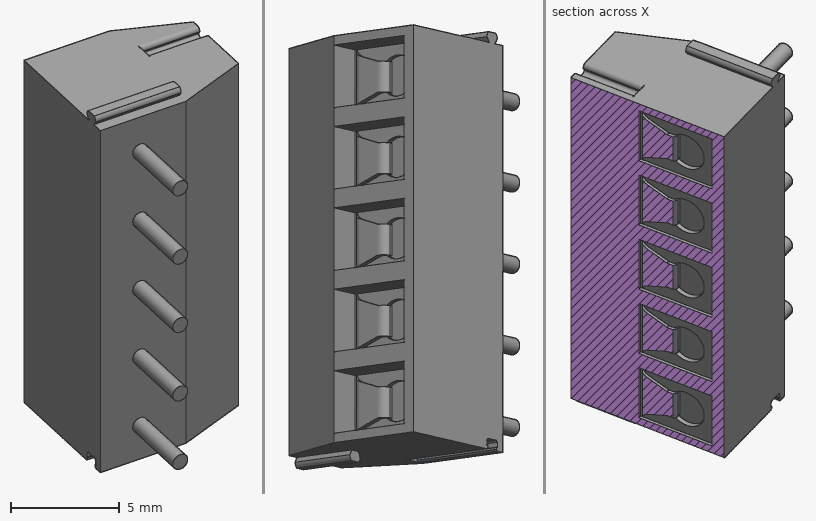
import cadquery as cq
import math

BODY_DEPTH = 6.75
BODY_WIDTH = 8.3
BODY_HEIGHT = 19.05
SHOULDER_Y = 4.61
TOP_INSET = 1.38

TERMINALS = 5
PITCH = BODY_HEIGHT / TERMINALS
CONTACT_Y = 2.15

PIN_DIAMETER = 0.8
PIN_LENGTH = 3.55

POCKET_DEPTH = 1.6
POCKET_HEIGHT = 2.93
POCKET_FRONT_Y = 0.55
POCKET_TAPER = 0.16

GUIDE_RISE = 0.28
GUIDE_START_Y = 4.51
GUIDE_START_RUN = 0.38
GUIDE_END_RUN = 0.45
GUIDE_END_DROP = 0.35
GUIDE_FLARE_Y = 4.33
GUIDE_FLARE_Z = 1.2
GUIDE_WIDE = 2.19
GUIDE_NARROW = 1.45
GUIDE_NECK_Y = 3.09
GUIDE_END_Y = 2.65

SCREW_DIAMETER = 1.92
SCREW_DEPTH = 0.25

RAIL_HEIGHT = 0.5
RAIL_WIDTH = 0.78
RAIL_FLARE_HEIGHT = 0.25
RAIL_TIP_INSET = 0.13
FRONT_RAIL_X = 5.95
FRONT_RAIL_NECK = 0.45
BACK_RAIL_X = 2.25
BACK_RAIL_NECK = 0.5
BACK_START_Y = 5.11

FRONT_SLOT_NECK = 0.65
FRONT_SLOT_NECK_HEIGHT = 0.18
FRONT_SLOT_CHAMFER = 0.08

BACK_SLOT_NECK = 0.58
BACK_SLOT_LIP_RADIUS = 0.22
BACK_SLOT_ROUND = 0.13

BUMP_RADIUS = 0.25
BUMP_X = 4.7
BUMP_GAPS = (1, 3, 4)


def terminal_z(index):
    return (index + 0.5) * PITCH


def extrude_along_y(profile, start_y, end_y):
    """Extrude an XZ profile between two Y positions."""
    return profile.extrude(start_y - end_y).translate((0, start_y, 0))


def tangent_arc_middle(run, drop):
    """Middle of an arc tangent to a straight line: distances along the line and away from it."""
    radius = (run**2 + drop**2) / (2 * drop)
    half_angle = math.asin(run / radius) / 2
    return radius * math.sin(half_angle), radius * (1 - math.cos(half_angle))


def housing():
    outline = [
        (0, 0),
        (BODY_DEPTH, 0),
        (BODY_DEPTH, SHOULDER_Y),
        (BODY_DEPTH - TOP_INSET, BODY_WIDTH),
        (TOP_INSET, BODY_WIDTH),
        (0, SHOULDER_Y),
    ]
    return cq.Workplane("XY").polyline(outline).close().extrude(BODY_HEIGHT)


def pocket(z):
    outline = [
        (0, POCKET_FRONT_Y),
        (POCKET_DEPTH, POCKET_FRONT_Y + POCKET_TAPER),
        (POCKET_DEPTH, SHOULDER_Y),
        (0, SHOULDER_Y),
    ]
    block = cq.Workplane("XY").polyline(outline).close().extrude(POCKET_HEIGHT)
    return block.translate((0, 0, z - POCKET_HEIGHT / 2))


def screw_recess(z):
    disc = cq.Workplane("YZ").circle(SCREW_DIAMETER / 2).extrude(SCREW_DEPTH)
    return disc.translate((POCKET_DEPTH, CONTACT_Y, z))


def guide(z):
    """Raised tongue with rounded ends that narrows toward the screw recess."""
    root_x = POCKET_DEPTH + SCREW_DEPTH
    top_x = POCKET_DEPTH - GUIDE_RISE
    wide_y = GUIDE_START_Y - GUIDE_START_RUN
    crest_y = GUIDE_END_Y + GUIDE_END_RUN
    start_run, start_drop = tangent_arc_middle(GUIDE_START_RUN, GUIDE_RISE)
    end_run, end_drop = tangent_arc_middle(GUIDE_END_RUN, GUIDE_END_DROP)
    side = (
        cq.Workplane("XY")
        .moveTo(root_x, GUIDE_START_Y)
        .lineTo(POCKET_DEPTH, GUIDE_START_Y)
        .threePointArc((top_x + start_drop, wide_y + start_run), (top_x, wide_y))
        .lineTo(top_x, crest_y)
        .threePointArc((top_x + end_drop, crest_y - end_run), (top_x + GUIDE_END_DROP, GUIDE_END_Y))
        .lineTo(root_x, GUIDE_END_Y)
        .close()
        .extrude(POCKET_HEIGHT)
        .translate((0, 0, z - POCKET_HEIGHT / 2))
    )
    half_start = POCKET_HEIGHT / 2
    half_wide = GUIDE_WIDE / 2
    half_narrow = GUIDE_NARROW / 2
    face = (
        cq.Workplane("YZ")
        .moveTo(GUIDE_END_Y, -half_narrow)
        .lineTo(GUIDE_NECK_Y, -half_narrow)
        .lineTo(wide_y, -half_wide)
        .threePointArc((GUIDE_FLARE_Y, -GUIDE_FLARE_Z), (GUIDE_START_Y, -half_start))
        .lineTo(GUIDE_START_Y, half_start)
        .threePointArc((GUIDE_FLARE_Y, GUIDE_FLARE_Z), (wide_y, half_wide))
        .lineTo(GUIDE_NECK_Y, half_narrow)
        .lineTo(GUIDE_END_Y, half_narrow)
        .close()
        .extrude(root_x)
        .translate((0, 0, z))
    )
    return side.intersect(face)


def pin(z):
    rod = cq.Workplane("YZ").circle(PIN_DIAMETER / 2).extrude(PIN_LENGTH)
    return rod.translate((BODY_DEPTH, CONTACT_Y, z))


def rail_profile(x, neck, base_z, up):
    """Rail that flares out from its base and rounds in toward its tip; up is 1 or -1."""
    half_neck = neck / 2
    half = RAIL_WIDTH / 2
    half_tip = half - RAIL_TIP_INSET
    flare_z = base_z + up * RAIL_FLARE_HEIGHT
    tip_z = base_z + up * RAIL_HEIGHT
    mid_rise, mid_inset = tangent_arc_middle(RAIL_HEIGHT - RAIL_FLARE_HEIGHT, RAIL_TIP_INSET)
    mid_z = flare_z + up * mid_rise
    return (
        cq.Workplane("XZ")
        .moveTo(x - half_neck, base_z)
        .lineTo(x - half, flare_z)
        .threePointArc((x - half + mid_inset, mid_z), (x - half_tip, tip_z))
        .lineTo(x + half_tip, tip_z)
        .threePointArc((x + half - mid_inset, mid_z), (x + half, flare_z))
        .lineTo(x + half_neck, base_z)
        .close()
    )


def front_slot():
    half_neck = FRONT_SLOT_NECK / 2
    half = RAIL_WIDTH / 2
    right = [
        (half_neck + FRONT_SLOT_CHAMFER, 0),
        (half_neck, FRONT_SLOT_CHAMFER),
        (half_neck, FRONT_SLOT_NECK_HEIGHT),
        (half, FRONT_SLOT_NECK_HEIGHT),
        (half, RAIL_HEIGHT - FRONT_SLOT_CHAMFER),
        (half - FRONT_SLOT_CHAMFER, RAIL_HEIGHT),
    ]
    left = [(-x, z) for x, z in reversed(right)]
    profile = cq.Workplane("XZ").polyline(right + left).close()
    return extrude_along_y(profile, 0, SHOULDER_Y).translate((FRONT_RAIL_X, 0, 0))


def back_slot():
    """Slot whose mouth has rounded lips and whose floor corners are rounded."""
    half_neck = BACK_SLOT_NECK / 2
    half_mouth = half_neck + BACK_SLOT_LIP_RADIUS
    half_head = RAIL_WIDTH / 2
    half_floor = half_head - BACK_SLOT_ROUND
    above_z = BODY_HEIGHT + BACK_SLOT_LIP_RADIUS
    lip_z = BODY_HEIGHT - BACK_SLOT_LIP_RADIUS
    floor_z = BODY_HEIGHT - RAIL_HEIGHT
    round_z = floor_z + BACK_SLOT_ROUND
    lip_mid = BACK_SLOT_LIP_RADIUS * math.sqrt(0.5)
    round_mid = BACK_SLOT_ROUND * math.sqrt(0.5)
    profile = (
        cq.Workplane("XZ")
        .moveTo(-half_mouth, above_z)
        .lineTo(-half_mouth, BODY_HEIGHT)
        .threePointArc((-half_mouth + lip_mid, lip_z + lip_mid), (-half_neck, lip_z))
        .lineTo(-half_head, round_z)
        .threePointArc((-half_floor - round_mid, round_z - round_mid), (-half_floor, floor_z))
        .lineTo(half_floor, floor_z)
        .threePointArc((half_floor + round_mid, round_z - round_mid), (half_head, round_z))
        .lineTo(half_neck, lip_z)
        .threePointArc((half_mouth - lip_mid, lip_z + lip_mid), (half_mouth, BODY_HEIGHT))
        .lineTo(half_mouth, above_z)
        .close()
    )
    return extrude_along_y(profile, BACK_START_Y, BODY_WIDTH).translate((BACK_RAIL_X, 0, 0))


def bump(gap):
    return cq.Workplane("XY").sphere(BUMP_RADIUS).translate((BUMP_X, BODY_WIDTH, gap * PITCH))


def front_rail():
    profile = rail_profile(FRONT_RAIL_X, FRONT_RAIL_NECK, BODY_HEIGHT, 1)
    return extrude_along_y(profile, 0, SHOULDER_Y)


def back_rail():
    profile = rail_profile(BACK_RAIL_X, BACK_RAIL_NECK, 0, -1)
    return extrude_along_y(profile, BACK_START_Y, BODY_WIDTH)


result = housing()
for index in range(TERMINALS):
    z = terminal_z(index)
    result = result.cut(pocket(z)).cut(screw_recess(z)).union(guide(z)).union(pin(z))

result = result.cut(front_slot()).cut(back_slot())
result = result.union(front_rail()).union(back_rail())
for gap in BUMP_GAPS:
    result = result.union(bump(gap))